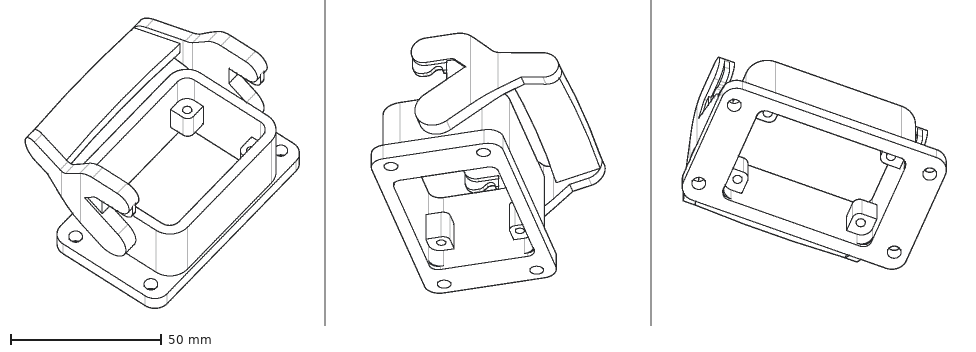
import cadquery as cq
import math

base_length_x = 45.2
base_length_y = 80.0
base_height = 5.6
base_corner_radius = 5.2
mount_hole_diameter = 4.6
mount_spacing_x = 31.8
mount_spacing_y = 70.1

housing_length_x = 43.4
housing_length_y = 60.2
housing_top = 29.2
housing_corner_radius = 7.5
wall_x = 3.7
wall_y = 3.5
cavity_length_x = housing_length_x - 2 * wall_x
cavity_length_y = housing_length_y - 2 * wall_y
cavity_corner_radius = 4.0

opening_depth = 1.4
opening_corner_radius = 3.0

boss_side = 7.8
boss_bottom = 7.6
boss_height = 10.0
boss_fillet = 2.5
boss_root = 0.8
boss_hole_inset = 4.5
boss_hole_diameter = 3.0

arm_width = 10.0
arm_radius = arm_width / 2
grip_x = -35.6
grip_z = 34.2
tip_x = 3.4
lever_top = 48.6
tip_z = lever_top - arm_radius
pivot_z = 19.7
pivot_radius = 7.1
leg_angle = math.radians(32)
neck_angle = math.radians(43.5)
neck_crest_radius = 8.0
neck_root_radius = 4.2
neck_crest_x = -7.0
notch_crest_radius = 2.1
notch_crest_x = -5.2

arm_outer_y = 37.3
arm_thickness = 5.4
arm_inner_y = arm_outer_y - arm_thickness
bend_angle = math.radians(15)
bend_outer_radius = 35.2
bend_outer_x = -12.0
bend_inner_radius = 13.6
bend_inner_x = -19.0
lever_left_x = -41.6

web_x = -3.6
web_length = 10.0
web_thickness = 4.5
hook_thickness = 1.8
hook_bottom = 35.6
hook_radius = 3.6
recess_x = -0.2
recess_z = 35.8
recess_radius = 1.8
ramp_angle = math.radians(40)
ramp_blend_radius = 2.2

overall_length_x = 63.9
bar_left_x = base_length_x / 2 - overall_length_x
bar_width = 16.6
bar_thickness = 5.0
bar_bow_radius = 480.0
bar_sweep = 10.0
bar_overlap = 2.0

pin_diameter = 5.0


def rounded_block(length_x, length_y, bottom, height, radius):
    return (
        cq.Workplane("XY", origin=(0, 0, bottom))
        .rect(length_x, length_y)
        .extrude(height)
        .edges("|Z")
        .fillet(radius)
    )


def side_plate(outline, y_start, y_end):
    """Extrude a closed XZ outline between two Y positions."""
    return outline.extrude(y_start - y_end).translate((0, y_start, 0))


def make_housing():
    base = rounded_block(base_length_x, base_length_y, 0, base_height, base_corner_radius)
    shell = rounded_block(housing_length_x, housing_length_y, 0, housing_top, housing_corner_radius)
    cavity = rounded_block(cavity_length_x, cavity_length_y, 0, housing_top, cavity_corner_radius)
    opening = rounded_block(cavity_length_x, cavity_length_y, 0, opening_depth, opening_corner_radius)
    mount_holes = (
        cq.Workplane("XY")
        .rect(mount_spacing_x, mount_spacing_y, forConstruction=True)
        .vertices()
        .circle(mount_hole_diameter / 2)
        .extrude(base_height)
    )
    return base.cut(mount_holes).union(shell).cut(cavity).cut(opening)


def make_boss(side_x, side_y):
    corner_x = side_x * cavity_length_x / 2
    corner_y = side_y * cavity_length_y / 2
    block_side = boss_side + boss_root
    center_offset = boss_root - block_side / 2
    free_face = ">X" if side_x < 0 else "<X"
    free_edge = ">Y" if side_y < 0 else "<Y"
    block = (
        cq.Workplane("XY", origin=(0, 0, boss_bottom))
        .center(corner_x + side_x * center_offset, corner_y + side_y * center_offset)
        .rect(block_side, block_side)
        .extrude(boss_height)
        .faces(free_face)
        .edges("|Z")
        .edges(free_edge)
        .fillet(boss_fillet)
    )
    hole = (
        cq.Workplane("XY", origin=(0, 0, boss_bottom))
        .center(corner_x - side_x * boss_hole_inset, corner_y - side_y * boss_hole_inset)
        .circle(boss_hole_diameter / 2)
        .extrude(boss_height)
    )
    return block.cut(hole)


def arm_outline():
    sin_leg = math.sin(leg_angle)
    cos_leg = math.cos(leg_angle)
    tan_leg = math.tan(leg_angle)
    sin_neck = math.sin(neck_angle)
    cos_neck = math.cos(neck_angle)
    tan_neck = math.tan(neck_angle)
    grip_top = grip_z + arm_radius
    grip_bottom = grip_z - arm_radius
    tip_bottom = lever_top - arm_width

    leg_low = (-pivot_radius * sin_leg, pivot_z - pivot_radius * cos_leg)
    leg_high = (pivot_radius * sin_leg, pivot_z + pivot_radius * cos_leg)
    leg_start_x = leg_low[0] - (grip_bottom - leg_low[1]) / tan_leg

    crest_end = (
        neck_crest_x - neck_crest_radius * sin_neck,
        lever_top - neck_crest_radius * (1 - cos_neck),
    )
    root_end_z = grip_top + neck_root_radius * (1 - cos_neck)
    root_end_x = crest_end[0] - (crest_end[1] - root_end_z) / tan_neck
    root_start_x = root_end_x - neck_root_radius * sin_neck

    notch_end = (
        notch_crest_x - notch_crest_radius * sin_neck,
        tip_bottom - notch_crest_radius * (1 - cos_neck),
    )
    leg_at_notch = leg_high[1] + (leg_high[0] - notch_end[0]) * tan_leg
    apex_x = notch_end[0] - (notch_end[1] - leg_at_notch) / (tan_neck + tan_leg)
    apex_z = leg_high[1] + (leg_high[0] - apex_x) * tan_leg

    return (
        cq.Workplane("XZ")
        .moveTo(grip_x, grip_bottom)
        .threePointArc((grip_x - arm_radius, grip_z), (grip_x, grip_top))
        .lineTo(root_start_x, grip_top)
        .tangentArcPoint((root_end_x, root_end_z), relative=False)
        .lineTo(*crest_end)
        .tangentArcPoint((neck_crest_x, lever_top), relative=False)
        .lineTo(tip_x, lever_top)
        .threePointArc((tip_x + arm_radius, tip_z), (tip_x, tip_bottom))
        .lineTo(notch_crest_x, tip_bottom)
        .tangentArcPoint(notch_end, relative=False)
        .lineTo(apex_x, apex_z)
        .lineTo(*leg_high)
        .threePointArc((pivot_radius * cos_leg, pivot_z - pivot_radius * sin_leg), leg_low)
        .lineTo(leg_start_x, grip_bottom)
        .close()
    )


def bent_edge(start_x, y, radius):
    """Points of a plan edge that leaves y at start_x, bends inward and runs on to the lever end."""

    def on_arc(angle):
        return (start_x - radius * math.sin(angle), y - radius * (1 - math.cos(angle)))

    bend_end = on_arc(bend_angle)
    far_y = bend_end[1] - (bend_end[0] - lever_left_x) * math.tan(bend_angle)
    return (start_x, y), on_arc(bend_angle / 2), bend_end, (lever_left_x, far_y)


def arm_plan():
    right_x = tip_x + 2 * arm_radius
    outer_start, outer_mid, outer_end, outer_far = bent_edge(bend_outer_x, arm_outer_y, bend_outer_radius)
    inner_start, inner_mid, inner_end, inner_far = bent_edge(bend_inner_x, arm_inner_y, bend_inner_radius)
    return (
        cq.Workplane("XY")
        .moveTo(right_x, arm_outer_y)
        .lineTo(*outer_start)
        .threePointArc(outer_mid, outer_end)
        .lineTo(*outer_far)
        .lineTo(*inner_far)
        .lineTo(*inner_end)
        .threePointArc(inner_mid, inner_start)
        .lineTo(right_x, arm_inner_y)
        .close()
        .extrude(lever_top)
    )


def make_web():
    """Plate on the inner side of the arm that fills the notch as far as web_x."""
    bottom = pivot_z + pivot_radius
    top = lever_top - arm_width
    height = top - bottom
    outline = cq.Workplane("XZ").center(web_x - web_length / 2, bottom + height / 2).rect(web_length, height)
    return side_plate(outline, arm_inner_y, arm_inner_y + web_thickness)


def make_hook():
    """Thin plate in the middle of the tip whose recessed lower edge forms the latch."""
    tip_right = tip_x + arm_radius
    hook_x = tip_right - hook_radius
    hook_z = hook_bottom + hook_radius
    diagonal = hook_radius * math.sqrt(0.5)

    recess_left_x = recess_x - math.sqrt(recess_radius ** 2 - (recess_z - hook_bottom) ** 2)
    ramp_top = (
        recess_x + recess_radius * math.sin(ramp_angle),
        recess_z + recess_radius * math.cos(ramp_angle),
    )
    ramp_corner_x = ramp_top[0] + (ramp_top[1] - hook_bottom) / math.tan(ramp_angle)
    blend_length = ramp_blend_radius * math.tan(ramp_angle / 2)
    ramp_end = (
        ramp_corner_x - blend_length * math.cos(ramp_angle),
        hook_bottom + blend_length * math.sin(ramp_angle),
    )

    outline = (
        cq.Workplane("XZ")
        .moveTo(web_x, tip_z)
        .lineTo(web_x, hook_bottom)
        .lineTo(recess_left_x, hook_bottom)
        .threePointArc((recess_x, recess_z + recess_radius), ramp_top)
        .lineTo(*ramp_end)
        .tangentArcPoint((ramp_corner_x + blend_length, hook_bottom), relative=False)
        .lineTo(hook_x, hook_bottom)
        .threePointArc((hook_x + diagonal, hook_z - diagonal), (tip_right, hook_z))
        .lineTo(tip_right, tip_z)
        .close()
    )
    hook_start = arm_inner_y + (arm_thickness - hook_thickness) / 2
    return side_plate(outline, hook_start, hook_start + hook_thickness)


def make_pin():
    """Pivot pin from the middle of the housing wall to the middle of the arm."""
    outline = cq.Workplane("XZ").center(0, pivot_z).circle(pin_diameter / 2)
    return side_plate(outline, (housing_length_y - wall_y) / 2, arm_inner_y + arm_thickness / 2)


def make_arm():
    body = side_plate(arm_outline(), 0, arm_outer_y).intersect(arm_plan())
    return body.union(make_web()).union(make_hook()).union(make_pin())


def make_grip_bar():
    """Bar with a rounded outer edge, swept along a shallow bow and trimmed inside the arms."""
    half_thickness = bar_thickness / 2
    top = grip_z + half_thickness
    bottom = grip_z - half_thickness
    edge_x = bar_left_x + arm_radius - math.sqrt(arm_radius ** 2 - half_thickness ** 2)
    right_x = bar_left_x + bar_width
    bow_center_x = bar_left_x + bar_bow_radius
    bar = (
        cq.Workplane("XZ")
        .moveTo(edge_x, bottom)
        .threePointArc((bar_left_x, grip_z), (edge_x, top))
        .lineTo(right_x, top)
        .lineTo(right_x, bottom)
        .close()
        .revolve(bar_sweep, (bow_center_x, 0), (bow_center_x, 1))
        .rotate((bow_center_x, 0, 0), (bow_center_x, 0, 1), -bar_sweep / 2)
    )

    _, _, (near_x, near_y), (far_x, far_y) = bent_edge(bend_inner_x, arm_inner_y, bend_inner_radius)
    near_y += bar_overlap
    far_y += bar_overlap
    trim = (
        cq.Workplane("XY")
        .polyline([(far_x, -far_y), (near_x, -near_y), (near_x, near_y), (far_x, far_y)])
        .close()
        .extrude(lever_top)
    )
    return bar.intersect(trim)


result = make_housing()
for side_x in (-1, 1):
    for side_y in (-1, 1):
        result = result.union(make_boss(side_x, side_y))
arm = make_arm()
result = result.union(arm).union(arm.mirror("XZ")).union(make_grip_bar())